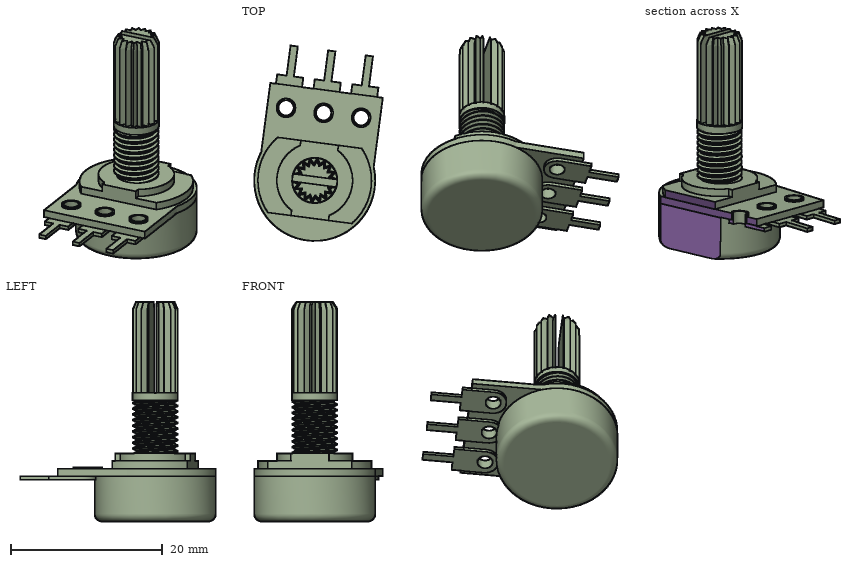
import cadquery as cq
import math

TURN_ANGLE = -7.5

CAN_TOP = 6.0
PLATE_TOP = 7.0
FLANGE_TOP = 8.0
BOSS_TOP = 9.0
THREAD_TOP = 16.0
COLLAR_TOP = 17.0
SHAFT_TOP = 29.0
CHAMFER_HEIGHT = 1.0
CHAMFER_BASE = SHAFT_TOP - CHAMFER_HEIGHT

CAN_RADIUS = 8.0
CAN_FILLET = 1.0
PLATE_WIDTH = 15.0
PLATE_END = 12.0

TERMINAL_PITCH = 5.0
TERMINAL_XS = (-TERMINAL_PITCH, 0.0, TERMINAL_PITCH)
RIVET_Y = 9.0
RIVET_RADIUS = 1.25
RIVET_BORE_RADIUS = 1.0
RIVET_RISE = 0.2
TERMINAL_THICKNESS = 0.5
TERMINAL_BOTTOM = CAN_TOP - TERMINAL_THICKNESS
LUG_WIDTH = 3.5
LUG_OVERHANG = 1.25
LUG_END = PLATE_END + LUG_OVERHANG
LEG_WIDTH = 1.0
LEG_LENGTH = 4.0
LEG_END = LUG_END + LEG_LENGTH

FLANGE_RADIUS = 7.5
FLANGE_DEPTH = 10.0
BOSS_RADIUS = 5.0
BOSS_BAR_WIDTH = 5.0
THREAD_MAJOR_RADIUS = 5.91 / 2
THREAD_MINOR_RADIUS = 5.05 / 2
THREAD_PITCH = 0.75
THREAD_PHASE = 0.46
RIDGE_ROOT_WIDTH = 0.6
RIDGE_CREST_WIDTH = 0.1
RIDGE_SINK = 0.05

COLLAR_RADIUS = 3.0
TOOTH_COUNT = 18
TOOTH_HALF_PITCH = math.pi / TOOTH_COUNT
TOOTH_TIP_RADIUS = 3.0
TOOTH_VALLEY_RADIUS = 2.25
FLANK_CHAMFER = 0.19
SLOT_WIDTH = 1.0


def cylinder(radius, bottom, top):
    return cq.Workplane("XY").workplane(offset=bottom).circle(radius).extrude(top - bottom)


def block(width, y_start, y_end, bottom, top, x=0.0):
    depth = y_end - y_start
    return (
        cq.Workplane("XY", origin=(x, (y_start + y_end) / 2, bottom))
        .rect(width, depth)
        .extrude(top - bottom)
    )


def lug_end(x, bottom, top):
    """Round end of a terminal, concentric with its rivet."""
    return cylinder(LUG_WIDTH / 2, bottom, top).translate((x, RIVET_Y, 0))


def make_can():
    can = cylinder(CAN_RADIUS, 0, CAN_TOP).faces("<Z").edges().fillet(CAN_FILLET)
    return can.cut(lug_end(0, TERMINAL_BOTTOM, CAN_TOP))


def make_plate():
    plate = cylinder(CAN_RADIUS, CAN_TOP, PLATE_TOP)
    plate = plate.union(block(PLATE_WIDTH, 0, PLATE_END, CAN_TOP, PLATE_TOP))
    for x in TERMINAL_XS:
        plate = plate.cut(cylinder(RIVET_RADIUS, CAN_TOP, PLATE_TOP).translate((x, RIVET_Y, 0)))
    return plate


def make_terminal(x):
    """Flat lug with a thin leg, held by a hollow rivet that passes through the plate."""
    terminal = lug_end(x, TERMINAL_BOTTOM, CAN_TOP)
    terminal = terminal.union(block(LUG_WIDTH, RIVET_Y, LUG_END, TERMINAL_BOTTOM, CAN_TOP, x))
    terminal = terminal.union(block(LEG_WIDTH, RIVET_Y, LEG_END, TERMINAL_BOTTOM, CAN_TOP, x))
    rivet_top = PLATE_TOP + RIVET_RISE
    rivet = cylinder(RIVET_RADIUS, TERMINAL_BOTTOM, rivet_top)
    bore = cylinder(RIVET_BORE_RADIUS, TERMINAL_BOTTOM, rivet_top)
    return terminal.union(rivet.translate((x, RIVET_Y, 0))).cut(bore.translate((x, RIVET_Y, 0)))


def make_thread_ridge():
    """Right-handed helical ridge, trimmed flat at both ends of the thread."""
    start = BOSS_TOP + THREAD_PHASE - 2 * THREAD_PITCH
    height = THREAD_TOP + THREAD_PITCH - start
    inner = THREAD_MINOR_RADIUS - RIDGE_SINK
    helix = cq.Wire.makeHelix(THREAD_PITCH, height, inner, center=cq.Vector(0, 0, start))
    profile = cq.Workplane("XZ").polyline(
        [
            (inner, start - RIDGE_ROOT_WIDTH / 2),
            (THREAD_MAJOR_RADIUS, start - RIDGE_CREST_WIDTH / 2),
            (THREAD_MAJOR_RADIUS, start + RIDGE_CREST_WIDTH / 2),
            (inner, start + RIDGE_ROOT_WIDTH / 2),
        ]
    ).close()
    ridge = profile.sweep(cq.Workplane(helix), isFrenet=True)
    ridge = ridge.rotate((0, 0, 0), (0, 0, 1), -TURN_ANGLE)
    return ridge.intersect(cylinder(CAN_RADIUS, BOSS_TOP, THREAD_TOP))


def make_bushing():
    half_depth = FLANGE_DEPTH / 2
    flange = cylinder(FLANGE_RADIUS, PLATE_TOP, FLANGE_TOP)
    flange = flange.intersect(block(2 * FLANGE_RADIUS, -half_depth, half_depth, PLATE_TOP, FLANGE_TOP))
    boss = cylinder(BOSS_RADIUS, FLANGE_TOP, BOSS_TOP)
    boss_bar = block(BOSS_BAR_WIDTH, -half_depth, half_depth, FLANGE_TOP, BOSS_TOP)
    core = cylinder(THREAD_MINOR_RADIUS, BOSS_TOP, THREAD_TOP)
    thread = core.union(make_thread_ridge())
    return flange.union(boss).union(boss_bar).union(thread)


def star_points(tip_radius, valley_radius):
    """Corners of the toothed outline, starting in the valley on +X."""
    points = []
    for corner in range(2 * TOOTH_COUNT):
        radius = tip_radius if corner % 2 else valley_radius
        angle = corner * TOOTH_HALF_PITCH
        points.append((radius * math.cos(angle), radius * math.sin(angle)))
    return points


def make_shaft():
    valley_half_angle = math.atan2(
        TOOTH_TIP_RADIUS * math.sin(TOOTH_HALF_PITCH),
        TOOTH_TIP_RADIUS * math.cos(TOOTH_HALF_PITCH) - TOOTH_VALLEY_RADIUS,
    )
    tip_half_angle = valley_half_angle - TOOTH_HALF_PITCH
    end_tip_radius = TOOTH_TIP_RADIUS - FLANK_CHAMFER / math.sin(tip_half_angle)
    end_valley_radius = TOOTH_VALLEY_RADIUS - FLANK_CHAMFER / math.sin(valley_half_angle)

    collar = cylinder(COLLAR_RADIUS, THREAD_TOP, COLLAR_TOP)
    teeth = (
        cq.Workplane("XY")
        .workplane(offset=COLLAR_TOP)
        .polyline(star_points(TOOTH_TIP_RADIUS, TOOTH_VALLEY_RADIUS))
        .close()
        .extrude(CHAMFER_BASE - COLLAR_TOP)
    )
    chamfered_end = (
        cq.Workplane("XY")
        .workplane(offset=CHAMFER_BASE)
        .polyline(star_points(TOOTH_TIP_RADIUS, TOOTH_VALLEY_RADIUS))
        .close()
        .workplane(offset=CHAMFER_HEIGHT)
        .polyline(star_points(end_tip_radius, end_valley_radius))
        .close()
        .loft(ruled=True)
    )
    slot = (
        cq.Workplane("XY")
        .workplane(offset=COLLAR_TOP)
        .rect(3 * COLLAR_RADIUS, SLOT_WIDTH)
        .extrude(SHAFT_TOP - COLLAR_TOP)
    )
    return collar.union(teeth).union(chamfered_end).cut(slot)


def turned(body):
    return body.rotate((0, 0, 0), (0, 0, 1), TURN_ANGLE)


can = turned(make_can())
plate = turned(make_plate())
bushing = turned(make_bushing())
shaft = turned(make_shaft())
terminals = [turned(make_terminal(x)) for x in TERMINAL_XS]

result = cq.Compound.makeCompound(
    [can.val(), plate.val(), bushing.val(), shaft.val(), *[terminal.val() for terminal in terminals]]
)